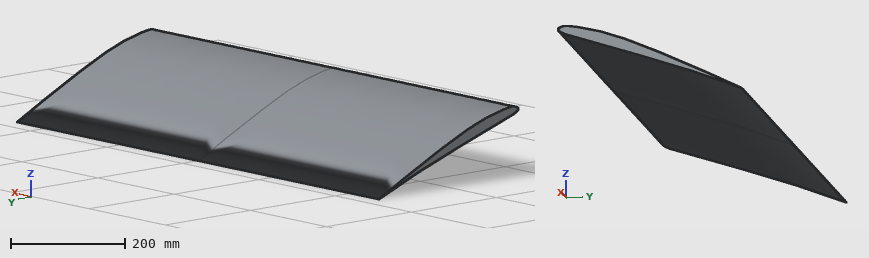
import cadquery as cq

span = 950.0
depth = 329.0
height = 124.0
left_panel_span = 473.0
right_panel_span = span - left_panel_span

leading_edge = (0.0, 119.0)
crest = (21.0, height)
trailing_edge = (depth, 0.0)
upper_surface = [
    (290.0, 20.0),
    (233.0, 47.0),
    (164.0, 79.0),
    (106.0, 103.0),
    (61.0, 117.0),
    crest,
    (4.0, 123.0),
]
lower_surface = [
    (4.0, 115.0),
    (26.0, 106.0),
    (72.0, 91.0),
    (129.0, 72.0),
    (199.0, 49.0),
    (256.0, 28.5),
]


def airfoil_panel(start_x, panel_span):
    """One stretch of the wing: a constant, cambered section with a sharp trailing edge."""
    section_points = upper_surface + [leading_edge] + lower_surface + [trailing_edge]
    return (
        cq.Workplane("YZ", origin=(start_x, 0, 0))
        .moveTo(*trailing_edge)
        .spline(section_points, includeCurrent=True)
        .close()
        .extrude(panel_span)
    )


left_panel = airfoil_panel(0, left_panel_span)
right_panel = airfoil_panel(left_panel_span, right_panel_span)
result = left_panel.union(right_panel, clean=False)